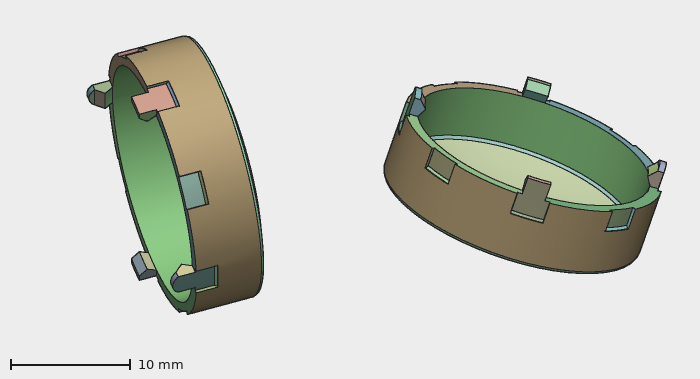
import cadquery as cq
import math

outer_radius = 11.3
bore_diameter = 20.5
bore_radius = bore_diameter / 2
apex_height = 7.62
wall_height = 5.75
dome_edge_radius = 11.2
dome_edge_height = 5.97
dome_thickness = 1.5

ceiling_radius = 10.01
ceiling_edge_height = 4.75
shoulder_height = 4.5

recess_count = 8
recess_width = 2.85
recess_height = 1.9
recess_floor_radius = 11.0
recess_chamfer = 0.2

leg_width = 2.01
short_leg_length = 1.51
long_leg_length = 2.01
leg_end_radius = 10.46
hook_radius = 9.8
hook_drop = 0.81

margin = 0.23


def dome_mid_point(edge_radius, edge_height, apex):
    """Point halfway along a circular arc from the dome edge to its apex on the axis."""
    rise = apex - edge_height
    sphere_radius = (edge_radius**2 + rise**2) / (2 * rise)
    half_angle = math.asin(edge_radius / sphere_radius) / 2
    drop = sphere_radius * (1 - math.cos(half_angle))
    return (sphere_radius * math.sin(half_angle), apex - drop)


def revolve_about_y(profile):
    return profile.close().revolve(360, (0, 0, 0), (0, 1, 0))


def make_shell():
    ceiling_apex = apex_height - dome_thickness
    profile = (
        cq.Workplane("XY")
        .moveTo(bore_radius, 0)
        .lineTo(outer_radius, 0)
        .lineTo(outer_radius, wall_height)
        .lineTo(dome_edge_radius, dome_edge_height)
        .threePointArc(
            dome_mid_point(dome_edge_radius, dome_edge_height, apex_height),
            (0, apex_height),
        )
        .lineTo(0, ceiling_apex)
        .threePointArc(
            dome_mid_point(ceiling_radius, ceiling_edge_height, ceiling_apex),
            (ceiling_radius, ceiling_edge_height),
        )
        .lineTo(bore_radius, shoulder_height)
    )
    return revolve_about_y(profile)


def make_recess():
    """Recess on the +X side, with parallel side walls and a chamfered upper floor edge."""
    ring = revolve_about_y(
        cq.Workplane("XY")
        .moveTo(recess_floor_radius, -margin)
        .lineTo(recess_floor_radius, recess_height - recess_chamfer)
        .lineTo(recess_floor_radius + recess_chamfer, recess_height)
        .lineTo(outer_radius + margin, recess_height)
        .lineTo(outer_radius + margin, -margin)
    )
    slot = cq.Workplane("XY").box(
        2 * outer_radius, 4 * recess_height, recess_width, centered=(False, True, True)
    )
    return ring.intersect(slot)


def make_leg(rounded):
    """Leg on the +X side with an inward hook, rooted in the wall above the rim."""
    ring = revolve_about_y(
        cq.Workplane("XY")
        .moveTo(recess_floor_radius, margin)
        .lineTo(recess_floor_radius, -long_leg_length)
        .lineTo(leg_end_radius, -long_leg_length)
        .lineTo(leg_end_radius, -short_leg_length)
        .lineTo(hook_radius, -hook_drop)
        .lineTo(bore_radius, 0)
        .lineTo(bore_radius, margin)
    )
    half_width = leg_width / 2
    outline = (
        cq.Workplane("YZ")
        .moveTo(margin, -half_width)
        .lineTo(margin, half_width)
        .lineTo(-short_leg_length, half_width)
    )
    if rounded:
        outline = outline.threePointArc((-long_leg_length, 0), (-short_leg_length, -half_width))
    else:
        outline = outline.lineTo(-short_leg_length, -half_width)
    return ring.intersect(outline.close().extrude(outer_radius))


def turn(shape, angle):
    return shape.rotate((0, 0, 0), (0, 1, 0), angle)


result = make_shell()

recess = make_recess()
for index in range(recess_count):
    result = result.cut(turn(recess, index * 360 / recess_count))

long_leg = make_leg(rounded=True)
short_leg = make_leg(rounded=False)
for angle in (0, 180):
    result = result.union(turn(long_leg, angle))
    result = result.union(turn(short_leg, angle + 90))